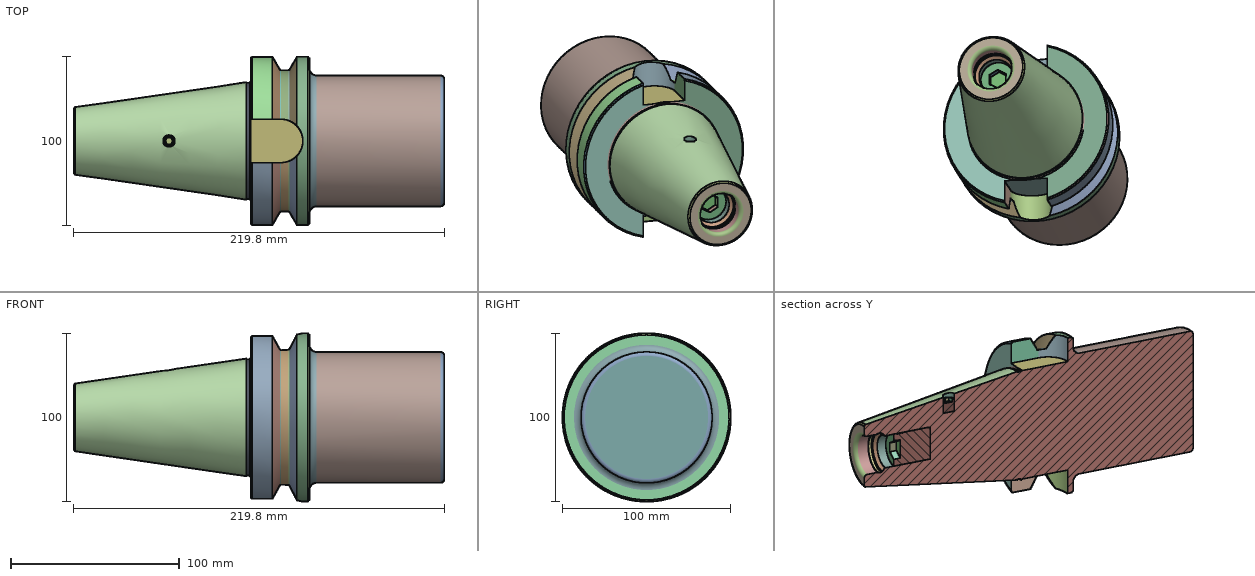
import cadquery as cq
import math

total_length = 219.8
gauge_x = 102.2
neck_x = 102.6
flange_x = 104.8
groove_start_x = 117.8
flange_end_x = 139.8

gauge_radius = 35.0
taper_ratio = 7 / 24
small_end_radius = gauge_radius - gauge_x * taper_ratio / 2
small_end_chamfer = 0.9
neck_radius = 34.5
neck_root_fillet = 0.9
flange_radius = 50.0
flange_front_chamfer = 0.9
flange_back_chamfer = 1.0
groove_radius = 42.0
groove_floor_length = 5.3
groove_floor_fillet = 0.9
groove_flank_length = (flange_radius - groove_radius) / math.tan(math.radians(60))
nose_radius = 39.0
nose_edge_fillet = 2.5
nose_root_fillet = 4.2

slot_width = 25.7
slot_floor_z = 35.0
slot_end_x = 135.8

counterbore_radius = 12.0
bore_mouth_fillet = 2.2
counterbore_depth = 12.0
relief_radius = 12.5
relief_start_x = 9.2
relief_length = 2.2
thread_radius = 10.1
thread_depth = 44.0

bore_screw_x = 19.8
bore_screw_hex = 10.0
bore_screw_hex_depth = 4.5

set_screw_x = 56.5
set_screw_radius = 3.5
set_screw_top_z = 26.0
set_screw_chamfer = 0.7
set_screw_hex = 4.0
set_screw_hex_depth = 2.2
set_screw_hole_floor_z = 17.5


def hex_diameter(across_flats):
    return across_flats / math.cos(math.radians(30))


def make_holder_blank():
    groove_floor_x = groove_start_x + groove_flank_length
    groove_floor_end_x = groove_floor_x + groove_floor_length
    groove_end_x = groove_floor_end_x + groove_flank_length
    chamfer_radius = small_end_radius + small_end_chamfer * taper_ratio / 2
    root_radius = nose_radius + nose_root_fillet
    blank = (
        cq.Workplane("XZ")
        .moveTo(0, 0)
        .lineTo(0, small_end_radius - small_end_chamfer)
        .lineTo(small_end_chamfer, chamfer_radius)
        .lineTo(gauge_x, gauge_radius)
        .lineTo(neck_x, neck_radius)
        .lineTo(flange_x - neck_root_fillet, neck_radius)
        .radiusArc((flange_x, neck_radius + neck_root_fillet), -neck_root_fillet)
        .lineTo(flange_x, flange_radius - flange_front_chamfer)
        .lineTo(flange_x + flange_front_chamfer, flange_radius)
        .lineTo(groove_start_x, flange_radius)
        .lineTo(groove_floor_x, groove_radius)
        .lineTo(groove_floor_end_x, groove_radius)
        .lineTo(groove_end_x, flange_radius)
        .lineTo(flange_end_x - flange_back_chamfer, flange_radius)
        .lineTo(flange_end_x, flange_radius - flange_back_chamfer)
        .lineTo(flange_end_x, root_radius)
        .radiusArc((flange_end_x + nose_root_fillet, nose_radius), -nose_root_fillet)
        .lineTo(total_length - nose_edge_fillet, nose_radius)
        .radiusArc((total_length, nose_radius - nose_edge_fillet), nose_edge_fillet)
        .lineTo(total_length, 0)
        .close()
        .revolve(360, (0, 0, 0), (1, 0, 0))
    )
    groove_corners = cq.selectors.BoxSelector(
        (groove_floor_x - groove_floor_fillet, -groove_floor_fillet, -groove_floor_fillet),
        (groove_floor_end_x + groove_floor_fillet, groove_floor_fillet, groove_floor_fillet),
    )
    return blank.edges("%CIRCLE").edges(groove_corners).fillet(groove_floor_fillet)


def make_driver_slot(side):
    height = flange_radius - slot_floor_z
    round_x = slot_end_x - slot_width / 2
    return (
        cq.Workplane("XY")
        .workplane(offset=side * slot_floor_z)
        .moveTo(flange_x, -slot_width / 2)
        .lineTo(round_x, -slot_width / 2)
        .threePointArc((slot_end_x, 0), (round_x, slot_width / 2))
        .lineTo(flange_x, slot_width / 2)
        .close()
        .extrude(side * height)
    )


def make_bore():
    thread_start_x = counterbore_depth + counterbore_radius - thread_radius
    relief_end_x = relief_start_x + relief_length
    return (
        cq.Workplane("XZ")
        .moveTo(0, 0)
        .lineTo(0, counterbore_radius + bore_mouth_fillet)
        .radiusArc((bore_mouth_fillet, counterbore_radius), -bore_mouth_fillet)
        .lineTo(relief_start_x, counterbore_radius)
        .lineTo(relief_start_x, relief_radius)
        .lineTo(relief_end_x, relief_radius)
        .lineTo(relief_end_x, counterbore_radius)
        .lineTo(counterbore_depth, counterbore_radius)
        .lineTo(thread_start_x, thread_radius)
        .lineTo(thread_depth, thread_radius)
        .lineTo(thread_depth, 0)
        .close()
        .revolve(360, (0, 0, 0), (1, 0, 0))
    )


def make_set_screw_hole():
    return (
        cq.Workplane("XY")
        .workplane(offset=set_screw_hole_floor_z)
        .center(set_screw_x, 0)
        .circle(set_screw_radius)
        .extrude(gauge_radius)
    )


def make_holder():
    holder = make_holder_blank()
    for side in (1, -1):
        holder = holder.cut(make_driver_slot(side))
    return holder.cut(make_bore()).cut(make_set_screw_hole())


def make_bore_screw():
    socket = (
        cq.Workplane("YZ")
        .workplane(offset=bore_screw_x)
        .transformed(rotate=(0, 0, 90))
        .polygon(6, hex_diameter(bore_screw_hex))
        .extrude(bore_screw_hex_depth)
    )
    body = (
        cq.Workplane("YZ")
        .workplane(offset=bore_screw_x)
        .circle(thread_radius)
        .extrude(thread_depth - bore_screw_x)
    )
    return body.cut(socket)


def make_set_screw():
    socket = (
        cq.Workplane("XY")
        .workplane(offset=set_screw_top_z)
        .center(set_screw_x, 0)
        .polygon(6, hex_diameter(set_screw_hex))
        .extrude(-set_screw_hex_depth)
    )
    body = (
        cq.Workplane("XY")
        .workplane(offset=set_screw_hole_floor_z)
        .center(set_screw_x, 0)
        .circle(set_screw_radius)
        .extrude(set_screw_top_z - set_screw_hole_floor_z)
        .faces(">Z")
        .chamfer(set_screw_chamfer)
    )
    return body.cut(socket)


holder = make_holder()
bore_screw = make_bore_screw()
set_screw = make_set_screw()

result = cq.Compound.makeCompound([holder.val(), bore_screw.val(), set_screw.val()])